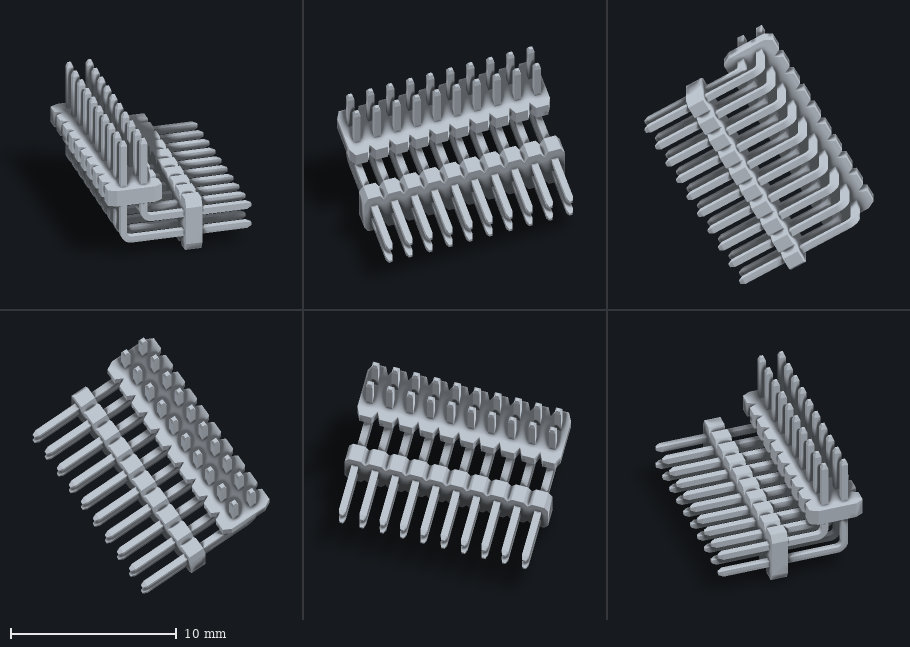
import cadquery as cq
import math


columns = 10
pitch = 1.27
row_offsets = (-pitch / 2, pitch / 2)
column_places = [(i - (columns - 1) / 2) * pitch for i in range(columns)]

plate_width = 3.4
plate_thickness = 1.03
notch_depth = 0.5
notch_half_width = 0.25
upright_plate_front = 3.15
level_plate_bottom = 1.92

pin_size = 0.41
tip_size = 0.2
tip_length = 0.28
bend_inner_radius = 0.3
flat_leg_end = 7.4
upright_leg_end = 5.93


def plate_outline():
    """Strip along X with chamfered cells that form V notches between contacts."""
    half_width = plate_width / 2
    shoulder = half_width - notch_depth
    half_flat = pitch / 2 - notch_half_width
    upper_edge = []
    for x in column_places:
        upper_edge.append((x - pitch / 2, shoulder))
        upper_edge.append((x - half_flat, half_width))
        upper_edge.append((x + half_flat, half_width))
    upper_edge.append((columns * pitch / 2, shoulder))
    lower_edge = [(x, -y) for x, y in reversed(upper_edge)]
    return upper_edge + lower_edge


def plate(workplane):
    return workplane.polyline(plate_outline()).close().extrude(plate_thickness)


def tip(workplane):
    """Pyramid frustum that closes the end of a leg."""
    taper = math.degrees(math.atan((pin_size - tip_size) / 2 / tip_length))
    return workplane.rect(pin_size, pin_size).extrude(tip_length, taper=taper)


def pin(row):
    """Bent pin at X = 0 with its upright leg at Y = row and its flat leg at Z = row."""
    half = pin_size / 2
    outer_radius = bend_inner_radius + pin_size
    diagonal = math.sqrt(0.5)
    bend_center = row + half + bend_inner_radius
    flat_shoulder = flat_leg_end - tip_length
    upright_shoulder = upright_leg_end - tip_length

    def on_bend(radius):
        """Middle point of a quarter-circle bend around the bend center."""
        offset = bend_center - radius * diagonal
        return (offset, offset)

    legs = (
        cq.Workplane("YZ")
        .moveTo(row - half, upright_shoulder)
        .lineTo(row - half, bend_center)
        .threePointArc(on_bend(outer_radius), (bend_center, row - half))
        .lineTo(flat_shoulder, row - half)
        .lineTo(flat_shoulder, row + half)
        .lineTo(bend_center, row + half)
        .threePointArc(on_bend(bend_inner_radius), (row + half, bend_center))
        .lineTo(row + half, upright_shoulder)
        .close()
        .extrude(half, both=True)
    )
    upright_tip = tip(cq.Workplane("XY", origin=(0, row, upright_shoulder)))
    flat_tip = tip(cq.Workplane("ZX", origin=(0, flat_shoulder, row)))
    return legs.union(upright_tip).union(flat_tip)


level_plate = plate(cq.Workplane("XY", origin=(0, 0, level_plate_bottom)))
upright_plate_back = upright_plate_front + plate_thickness
upright_plate = plate(cq.Workplane("XZ", origin=(0, upright_plate_back, 0)))

result = level_plate.union(upright_plate)
for row in row_offsets:
    row_pin = pin(row)
    for x in column_places:
        result = result.union(row_pin.translate((x, 0, 0)))